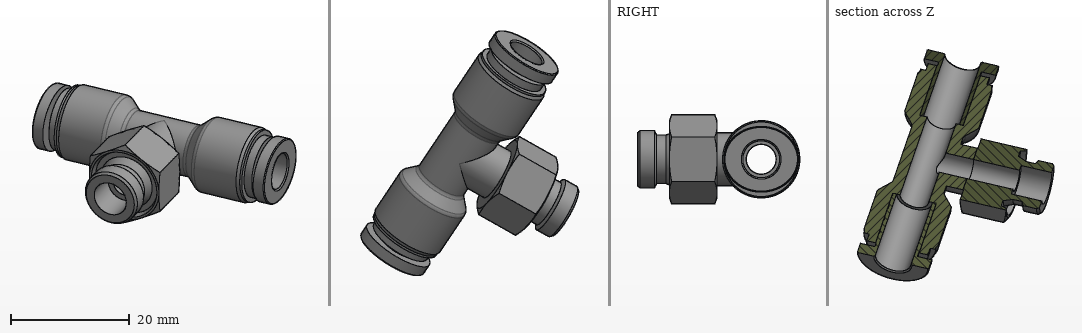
import cadquery as cq
import math


end_face_x = 21.7
flange_inner_x = 19.65
collar_end_x = 18.95
rim_end_x = 17.55
rim_start_x = 17.15
socket_taper_x = 16.6
shoulder_x = 8.38
cone_end_x = 6.05
tube_seat_x = shoulder_x

socket_d = 13.0
rim_d = 12.55
collar_d = 10.75
run_d = 9.0
run_bore_d = 5.0
stud_bore_d = 4.0
shoulder_round = 1.0

sleeve_d = 7.5
button_bore_d = 6.2
lead_in = 0.24
flange_width = 12.55
flange_height = 11.05
flange_chamfer = 0.17

hex_back_y = 7.4
hex_front_y = 15.45
neck_foot_y = 16.0
neck_end_y = 17.58
thread_start_y = 17.95
thread_chamfer_y = 20.35
stud_end_y = 20.8
hex_sides = 6
hex_flats = 13.0
hex_chamfer_depth = 0.4
neck_d = 8.2
neck_foot_d = 9.55
thread_d = 9.7
thread_tip_d = 9.0
recess_d = 12.25
recess_floor_d = 11.55
recess_depth = 0.95
stud_counterbore_d = 6.0
stud_counterbore_depth = stud_end_y - hex_front_y

hex_half_sector = 180 / hex_sides
hex_corners = hex_flats / math.cos(math.radians(hex_half_sector))


def x_cylinder(diameter, start, end):
    return cq.Workplane("YZ").workplane(offset=start).circle(diameter / 2).extrude(end - start)


def y_cylinder(diameter, start, end):
    """Cylinder on the branch axis between two distances along -Y."""
    return cq.Workplane("XZ").workplane(offset=start).circle(diameter / 2).extrude(end - start)


def revolve_on_run(points):
    """Solid of revolution about X from (x, radius) points."""
    return cq.Workplane("XY").polyline(points).close().revolve(360, (0, 0, 0), (1, 0, 0))


def revolve_on_branch(points):
    """Solid of revolution about Y from (radius, distance along -Y) points."""
    outline = [(radius, -distance) for radius, distance in points]
    return cq.Workplane("XY").polyline(outline).close().revolve(360, (0, 0, 0), (0, 1, 0))


def make_run():
    """Run of the tee without its bores."""
    right_half = [
        (cone_end_x, run_d / 2),
        (shoulder_x, socket_d / 2),
        (socket_taper_x, socket_d / 2),
        (rim_start_x, rim_d / 2),
        (rim_end_x, rim_d / 2),
        (rim_end_x, collar_d / 2),
        (collar_end_x, collar_d / 2),
        (collar_end_x, 0),
    ]
    left_half = [(-x, radius) for x, radius in reversed(right_half)]
    margin = shoulder_round
    run = revolve_on_run(left_half + right_half)
    for side in (-1, 1):
        cone_edges = cq.selectors.BoxSelector(
            (side * (cone_end_x - margin), -socket_d, -socket_d),
            (side * (shoulder_x + margin), socket_d, socket_d),
        )
        run = run.edges(cone_edges).edges("%CIRCLE").fillet(shoulder_round)
    return run


def make_tee():
    branch = y_cylinder(run_d, 0, hex_back_y)
    body = make_run().union(branch)
    body = body.cut(x_cylinder(run_bore_d, -collar_end_x, collar_end_x))
    body = body.cut(y_cylinder(stud_bore_d, 0, hex_back_y))
    sleeve_hole = x_cylinder(sleeve_d, tube_seat_x, collar_end_x)
    return body.cut(sleeve_hole).cut(sleeve_hole.mirror("YZ"))


def make_button():
    """Release button on the +X side: an oval flange on a round sleeve."""
    flange = (
        cq.Workplane("YZ")
        .workplane(offset=flange_inner_x)
        .ellipse(flange_width / 2, flange_height / 2)
        .extrude(end_face_x - flange_inner_x)
        .faces(">X")
        .chamfer(flange_chamfer)
    )
    button = flange.union(x_cylinder(sleeve_d, tube_seat_x, flange_inner_x))
    button = button.cut(x_cylinder(button_bore_d, tube_seat_x, end_face_x))
    bore_mouth = button.faces(">X").edges("%CIRCLE")
    return bore_mouth.chamfer(lead_in)


def make_hexagon():
    """Hexagon with corners at +Z and -Z, turned to a cone at both ends."""
    hexagon = (
        cq.Workplane("XZ")
        .workplane(offset=hex_back_y)
        .polygon(hex_sides, hex_corners)
        .extrude(hex_front_y - hex_back_y)
        .rotate((0, 0, 0), (0, 1, 0), hex_half_sector)
    )
    envelope = revolve_on_branch([
        (0, hex_back_y),
        (hex_flats / 2, hex_back_y),
        (hex_corners / 2, hex_back_y + hex_chamfer_depth),
        (hex_corners / 2, hex_front_y - hex_chamfer_depth),
        (hex_flats / 2, hex_front_y),
        (0, hex_front_y),
    ])
    recess_floor_y = hex_front_y - recess_depth
    recess = revolve_on_branch([
        (0, recess_floor_y),
        (recess_floor_d / 2, recess_floor_y),
        (recess_d / 2, hex_front_y),
        (0, hex_front_y),
    ])
    return hexagon.intersect(envelope).cut(recess)


def make_stud():
    recess_floor_y = hex_front_y - recess_depth
    threaded_end = revolve_on_branch([
        (0, recess_floor_y),
        (neck_foot_d / 2, recess_floor_y),
        (neck_d / 2, neck_foot_y),
        (neck_d / 2, neck_end_y),
        (thread_d / 2, thread_start_y),
        (thread_d / 2, thread_chamfer_y),
        (thread_tip_d / 2, stud_end_y),
        (0, stud_end_y),
    ])
    stud = make_hexagon().union(threaded_end)
    stud = stud.cut(y_cylinder(stud_bore_d, hex_back_y, stud_end_y))
    counterbore = y_cylinder(stud_counterbore_d, stud_end_y - stud_counterbore_depth, stud_end_y)
    return stud.cut(counterbore)


tee = make_tee()
stud = make_stud()
right_button = make_button()
buttons = [right_button.rotate((0, 0, 0), (0, 0, 1), angle).val() for angle in (0, 180)]

result = cq.Compound.makeCompound([tee.val(), stud.val(), *buttons])